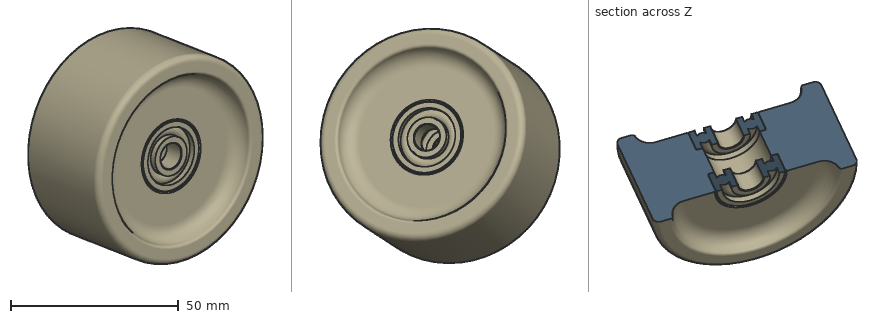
import cadquery as cq
import math

wheel_width = 34.0
wheel_radius = 65.0 / 2
tread_edge_radius = 2.0
web_width = 24.0
dish_radius = 26.5
dish_corner_radius = 5.0
dish_lip_radius = 1.0

bearing_radius = 11.0
bearing_width = 7.0
bearing_bore_radius = 4.0
bearing_edge_chamfer = 0.2
outer_race_inner_radius = 9.0
inner_race_outer_radius = 6.15
ball_radius = 2.0
ball_pitch_radius = (outer_race_inner_radius + inner_race_outer_radius) / 2

seat_chamfer = 0.5
hub_bore_radius = outer_race_inner_radius

half_width = wheel_width / 2
web_face = web_width / 2


def ring(inner_radius, outer_radius, start, length):
    """Plain ring about the X axis, from X = start over the given length."""
    return (
        cq.Workplane("YZ", origin=(start, 0, 0))
        .circle(outer_radius)
        .circle(inner_radius)
        .extrude(length)
    )


def revolve_about_x(profile):
    """Full turn about X of a profile drawn as (X, radius)."""
    return profile.close().revolve(360, (0, 0, 0), (1, 0, 0))


def make_dish():
    """Recess on the +X side: flat web, concave corner and a rounded lip tangent to both."""
    corner_x = web_face + dish_corner_radius
    corner_r = dish_radius - dish_corner_radius
    lip_x = half_width - dish_lip_radius
    center_distance = dish_corner_radius + dish_lip_radius
    lip_r = corner_r + math.sqrt(center_distance**2 - (corner_x - lip_x) ** 2)

    meet_angle = math.asin((corner_x - lip_x) / center_distance)
    mid_angle = (meet_angle + math.pi / 2) / 2

    def corner_point(angle):
        return (
            corner_x - dish_corner_radius * math.sin(angle),
            corner_r + dish_corner_radius * math.cos(angle),
        )

    def lip_point(angle):
        return (
            lip_x + dish_lip_radius * math.sin(angle),
            lip_r - dish_lip_radius * math.cos(angle),
        )

    profile = (
        cq.Workplane("XY")
        .moveTo(web_face, 0)
        .lineTo(web_face, corner_r)
        .threePointArc(corner_point(mid_angle), corner_point(meet_angle))
        .threePointArc(lip_point(mid_angle), (half_width, lip_r))
        .lineTo(half_width, 0)
    )
    return revolve_about_x(profile)


def make_bearing_seat():
    """Chamfered bearing pocket on the +X side of the hub."""
    seat_floor = web_face - bearing_width
    chamfer_start = web_face - seat_chamfer
    profile = (
        cq.Workplane("XY")
        .moveTo(seat_floor, 0)
        .lineTo(seat_floor, bearing_radius)
        .lineTo(chamfer_start, bearing_radius)
        .lineTo(web_face, bearing_radius + seat_chamfer)
        .lineTo(web_face, 0)
    )
    return revolve_about_x(profile)


def make_wheel():
    """Wheel with rounded tread edges, a dish and a bearing seat on each side."""
    blank = ring(hub_bore_radius, wheel_radius, -half_width, wheel_width)
    blank = blank.edges(cq.selectors.RadiusNthSelector(-1)).fillet(tread_edge_radius)
    for cutter in (make_dish(), make_bearing_seat()):
        blank = blank.cut(cutter).cut(cutter.mirror("YZ"))
    return blank.solids()


def make_bearing(center_x):
    """Simplified bearing: two races joined by the ball row as a solid round ring."""
    start = center_x - bearing_width / 2
    outer_race = ring(outer_race_inner_radius, bearing_radius, start, bearing_width)
    outer_race = outer_race.edges(cq.selectors.RadiusNthSelector(-1)).chamfer(bearing_edge_chamfer)
    inner_race = ring(bearing_bore_radius, inner_race_outer_radius, start, bearing_width)
    inner_race = inner_race.edges(cq.selectors.RadiusNthSelector(0)).chamfer(bearing_edge_chamfer)
    ball_row = (
        cq.Workplane("XY")
        .center(center_x, ball_pitch_radius)
        .circle(ball_radius)
        .revolve(360, (0, -ball_pitch_radius, 0), (1, -ball_pitch_radius, 0))
    )
    return outer_race.union(ball_row).union(inner_race).solids()


wheel = make_wheel()
bearing_offset = web_face - bearing_width / 2
bearings = [make_bearing(side * bearing_offset) for side in (-1, 1)]

result = cq.Compound.makeCompound([wheel.val(), *[bearing.val() for bearing in bearings]])